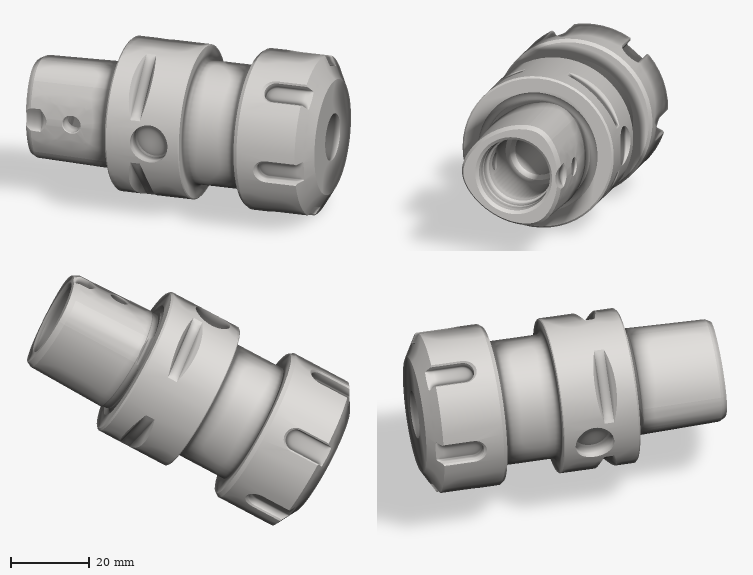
import cadquery as cq
import math


TOTAL_LENGTH = 79.0
SHANK_CHAMFER_END = 1.5
SHANK_END = 22.1
SHANK_STEP = 0.2
FLANGE_START = 23.9
FLANGE_END = 44.0
NUT_START = 58.85
NUT_CONE_START = 75.5
NOSE_END = 71.1

SHANK_RADIUS_SMALL = 13.3
SHANK_RADIUS_LARGE = 13.8
SHANK_CHAMFER = 0.8
SHANK_STEP_DEPTH = 0.15
LOBE_HEIGHT = 0.9
LOBE_COUNT = 3
LOBE_HALF_ANGLE = 25.5
CURVE_STEPS = 12

FLANGE_RADIUS = 20.1
FLANGE_FRONT_CHAMFER = 0.5
FLANGE_REAR_CHAMFER = 0.2
NOSE_RADIUS = 16.0
NOSE_FILLET = 1.0

RELIEF_RADIUS = 14.1
RELIEF_OUTER_RADIUS = 15.9
RELIEF_CONE_START = 21.7
RELIEF_CONE_END = 22.75
RELIEF_WALL_END = 23.3
RELIEF_CONE_RADIUS = 14.9

THROUGH_RADIUS = 6.2
THROUGH_CHAMFER = 1.1
SHOULDER_X = 23.7
MOUTH_RADIUS = 10.2
MOUTH_CHAMFER = 0.8
ENTRY_END = 3.4
TAPER_END = 4.1
TAPER_END_RADIUS = 9.3
SEAT_RADIUS = 9.2
SEAT_START = 4.4
SEAT_END = 5.5
CONE_START = 6.3
CONE_RADIUS = 8.9
MAIN_BORE_START = 7.2
MAIN_BORE_RADIUS = 8.45

CROSS_X = 12.6
CROSS_RADIUS = 2.3
CROSS_SINK_RADIUS = 2.8
CROSS_FLANK_Y = 12.9
CROSS_FLAT_Y = 9.1
CROSS_TIP_ANGLE = 118.0

SCOOP_RADIUS = 4.75
SCOOP_FLOOR_Y = 11.05
SCOOP_LENGTH = 4.1
SCOOP_TIP_ANGLE = 80.0

NOTCH_X = 32.0
NOTCH_FLOOR_DISTANCE = 17.7
NOTCH_FLOOR_WIDTH = 2.5
NOTCH_WALL_TILT = 32.0
NOTCH_COUNT = 4
RECESS_X = 35.95
RECESS_RADIUS = 5.05
RECESS_FLOOR_DISTANCE = 15.25
RECESS_FLOOR_CHAMFER = 0.4

NUT_RADIUS = 20.85
NUT_FACE_RADIUS = 15.0
NUT_CHAMFER_LENGTH = 1.0
NUT_CHAMFER_DEPTH = 0.7
SLOT_COUNT = 6
SLOT_FIRST_ANGLE = 10.0
SLOT_HALF_WIDTH = 2.8
SLOT_END_CENTER_X = 67.7
SLOT_FLOOR_DISTANCE = 18.1
SLOT_FLOOR_FILLET = 0.3
SLOT_LIP_DISTANCE = 20.2

OVERCUT = 0.8


def turned(points):
    """Revolve an (axial position, radius) outline about the X axis."""
    return cq.Workplane("XY").polyline(points).close().revolve(360, (0, 0, 0), (1, 0, 0))


def polygon_wire(x, mean_radius):
    """Closed lobed outline at position x, one curve per lobe and one per flank."""

    def point(angle):
        height = mean_radius + LOBE_HEIGHT * math.cos(LOBE_COUNT * angle)
        slope = -LOBE_COUNT * LOBE_HEIGHT * math.sin(LOBE_COUNT * angle)
        y = height * math.cos(angle) - slope * math.sin(angle)
        z = height * math.sin(angle) + slope * math.cos(angle)
        return cq.Vector(x, y, z)

    half_lobe = math.radians(LOBE_HALF_ANGLE)
    pitch = 2 * math.pi / LOBE_COUNT
    edges = []
    for lobe in range(LOBE_COUNT):
        middle = lobe * pitch
        for start, end in ((-half_lobe, half_lobe), (half_lobe, pitch - half_lobe)):
            step = (end - start) / CURVE_STEPS
            curve = [point(middle + start + i * step) for i in range(CURVE_STEPS + 1)]
            edges.append(cq.Edge.makeSpline(curve))
    return cq.Wire.assembleEdges(edges)


def make_shank():
    neck_radius = SHANK_RADIUS_LARGE - SHANK_STEP_DEPTH
    sections = [
        polygon_wire(0, SHANK_RADIUS_SMALL - SHANK_CHAMFER),
        polygon_wire(SHANK_CHAMFER_END, SHANK_RADIUS_SMALL),
        polygon_wire(SHANK_END, SHANK_RADIUS_LARGE),
        polygon_wire(SHANK_END + SHANK_STEP, neck_radius),
        polygon_wire(FLANGE_START + OVERCUT, neck_radius),
    ]
    return cq.Workplane(cq.Solid.makeLoft(sections, True))


def make_flange_and_nose():
    fillet_center_x = FLANGE_END + NOSE_FILLET
    fillet_center_radius = NOSE_RADIUS + NOSE_FILLET
    fillet_reach = NOSE_FILLET * math.sqrt(0.5)
    return (
        cq.Workplane("XY")
        .moveTo(FLANGE_START, 0)
        .lineTo(FLANGE_START, FLANGE_RADIUS - FLANGE_FRONT_CHAMFER)
        .lineTo(FLANGE_START + FLANGE_FRONT_CHAMFER, FLANGE_RADIUS)
        .lineTo(FLANGE_END - FLANGE_REAR_CHAMFER, FLANGE_RADIUS)
        .lineTo(FLANGE_END, FLANGE_RADIUS - FLANGE_REAR_CHAMFER)
        .lineTo(FLANGE_END, fillet_center_radius)
        .threePointArc(
            (fillet_center_x - fillet_reach, fillet_center_radius - fillet_reach),
            (fillet_center_x, NOSE_RADIUS),
        )
        .lineTo(NOSE_END, NOSE_RADIUS)
        .lineTo(NOSE_END, 0)
        .close()
        .revolve(360, (0, 0, 0), (1, 0, 0))
    )


def relief_groove():
    """Ring that trims the lobes to a cylinder and sinks a round groove into the flange face."""
    groove_depth = (RELIEF_OUTER_RADIUS - RELIEF_RADIUS) / 2
    groove_middle = (RELIEF_OUTER_RADIUS + RELIEF_RADIUS) / 2
    return (
        cq.Workplane("XY")
        .moveTo(RELIEF_CONE_START, RELIEF_CONE_RADIUS)
        .lineTo(RELIEF_CONE_END, RELIEF_RADIUS)
        .lineTo(RELIEF_WALL_END, RELIEF_RADIUS)
        .threePointArc(
            (FLANGE_START + groove_depth, groove_middle),
            (FLANGE_START, RELIEF_OUTER_RADIUS),
        )
        .lineTo(RELIEF_CONE_START, RELIEF_OUTER_RADIUS)
        .close()
        .revolve(360, (0, 0, 0), (1, 0, 0))
    )


def holder_bore():
    entry_radius = MOUTH_RADIUS - MOUTH_CHAMFER
    return turned([
        (0, 0),
        (0, MOUTH_RADIUS),
        (MOUTH_CHAMFER, entry_radius),
        (ENTRY_END, entry_radius),
        (TAPER_END, TAPER_END_RADIUS),
        (SEAT_START, SEAT_RADIUS),
        (SEAT_END, SEAT_RADIUS),
        (CONE_START, CONE_RADIUS),
        (MAIN_BORE_START, MAIN_BORE_RADIUS),
        (SHOULDER_X, MAIN_BORE_RADIUS),
        (SHOULDER_X, THROUGH_RADIUS + THROUGH_CHAMFER),
        (SHOULDER_X + THROUGH_CHAMFER, THROUGH_RADIUS),
        (NOSE_END, THROUGH_RADIUS),
        (NOSE_END, 0),
    ])


def cross_hole():
    """Countersunk drill entering from -Y, with a conical tip pointing to +Y."""
    tip_length = CROSS_RADIUS / math.tan(math.radians(CROSS_TIP_ANGLE / 2))
    sink_depth = CROSS_SINK_RADIUS - CROSS_RADIUS
    outside_y = CROSS_FLANK_Y + OVERCUT
    outline = [
        (CROSS_X, -outside_y),
        (CROSS_X + CROSS_SINK_RADIUS + OVERCUT, -outside_y),
        (CROSS_X + CROSS_RADIUS, sink_depth - CROSS_FLANK_Y),
        (CROSS_X + CROSS_RADIUS, CROSS_FLAT_Y),
        (CROSS_X, CROSS_FLAT_Y + tip_length),
    ]
    axis_start = (CROSS_X, 0, 0)
    axis_end = (CROSS_X, 1, 0)
    return cq.Workplane("XY").polyline(outline).close().revolve(360, axis_start, axis_end)


def mouth_scoop():
    tip_length = SCOOP_RADIUS / math.tan(math.radians(SCOOP_TIP_ANGLE / 2))
    drill = turned([
        (0, 0),
        (0, SCOOP_RADIUS),
        (SCOOP_LENGTH, SCOOP_RADIUS),
        (SCOOP_LENGTH + tip_length, 0),
    ])
    return drill.translate((0, -SCOOP_FLOOR_Y - SCOOP_RADIUS, 0))


def flange_notches():
    """Flat-floored cross notches with flared walls, midway between the Y and Z directions."""
    height = FLANGE_RADIUS + OVERCUT - NOTCH_FLOOR_DISTANCE
    floor_half = NOTCH_FLOOR_WIDTH / 2
    top_half = floor_half + height * math.tan(math.radians(NOTCH_WALL_TILT))
    notch = (
        cq.Workplane("XZ")
        .polyline([
            (NOTCH_X - floor_half, NOTCH_FLOOR_DISTANCE),
            (NOTCH_X + floor_half, NOTCH_FLOOR_DISTANCE),
            (NOTCH_X + top_half, NOTCH_FLOOR_DISTANCE + height),
            (NOTCH_X - top_half, NOTCH_FLOOR_DISTANCE + height),
        ])
        .close()
        .extrude(FLANGE_RADIUS, both=True)
    )
    pitch = 360 / NOTCH_COUNT
    return [notch.rotate((0, 0, 0), (1, 0, 0), (i + 0.5) * pitch) for i in range(NOTCH_COUNT)]


def flange_recesses():
    """Round flat-bottomed recesses on the -Y and +Y sides."""
    depth = FLANGE_RADIUS + OVERCUT - RECESS_FLOOR_DISTANCE
    recess = (
        cq.Workplane("XZ", origin=(RECESS_X, -RECESS_FLOOR_DISTANCE, 0))
        .circle(RECESS_RADIUS)
        .extrude(depth)
        .faces(">Y")
        .chamfer(RECESS_FLOOR_CHAMFER)
    )
    return [recess, recess.mirror("XZ")]


def make_holder():
    holder = make_shank().union(make_flange_and_nose())
    cutters = [relief_groove(), holder_bore(), cross_hole(), mouth_scoop()]
    cutters += flange_notches() + flange_recesses()
    for cutter in cutters:
        holder = holder.cut(cutter)
    return holder


def nut_slot():
    """Slot tool on the -Y side: round inner end, filleted floor, 45 degree flare at the top."""
    open_end = TOTAL_LENGTH + OVERCUT
    flare = NUT_RADIUS + OVERCUT - SLOT_LIP_DISTANCE

    def slot_outline(distance, half_width):
        return (
            cq.Workplane("XZ", origin=(0, -distance, 0))
            .moveTo(open_end, -half_width)
            .lineTo(SLOT_END_CENTER_X, -half_width)
            .threePointArc((SLOT_END_CENTER_X - half_width, 0), (SLOT_END_CENTER_X, half_width))
            .lineTo(open_end, half_width)
            .close()
        )

    channel = slot_outline(SLOT_FLOOR_DISTANCE, SLOT_HALF_WIDTH).extrude(
        SLOT_LIP_DISTANCE - SLOT_FLOOR_DISTANCE
    )
    channel = channel.faces(">Y").edges("not(>X)").fillet(SLOT_FLOOR_FILLET)
    lip = cq.Solid.makeLoft(
        [
            slot_outline(SLOT_LIP_DISTANCE, SLOT_HALF_WIDTH).val(),
            slot_outline(SLOT_LIP_DISTANCE + flare, SLOT_HALF_WIDTH + flare).val(),
        ],
        True,
    )
    return channel.union(cq.Workplane(lip))


def make_nut():
    nut = turned([
        (NUT_START, NOSE_RADIUS),
        (NUT_START, NUT_RADIUS - NUT_CHAMFER_DEPTH),
        (NUT_START + NUT_CHAMFER_LENGTH, NUT_RADIUS),
        (NUT_CONE_START, NUT_RADIUS),
        (TOTAL_LENGTH, NUT_FACE_RADIUS),
        (TOTAL_LENGTH, THROUGH_RADIUS),
        (NOSE_END, THROUGH_RADIUS),
        (NOSE_END, NOSE_RADIUS),
    ])
    slot = nut_slot()
    for i in range(SLOT_COUNT):
        angle = SLOT_FIRST_ANGLE + i * 360 / SLOT_COUNT
        nut = nut.cut(slot.rotate((0, 0, 0), (1, 0, 0), angle))
    return nut


holder = make_holder()
nut = make_nut()

result = cq.Compound.makeCompound([holder.val(), nut.val()])